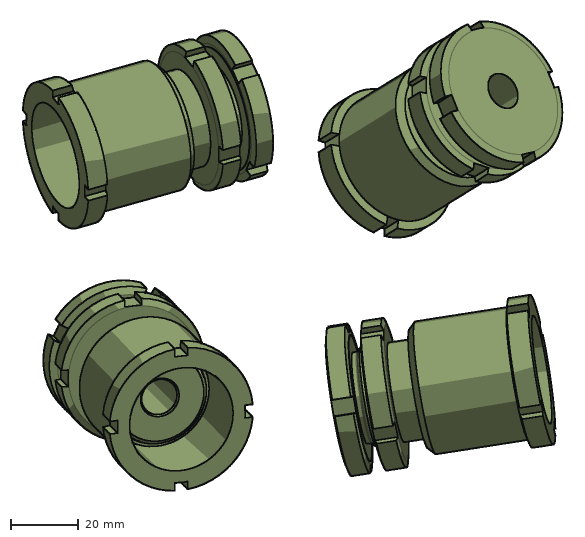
import cadquery as cq
import math

total_length = 61.5
ring_radius = 22.5
bevel_slope = math.tan(math.radians(15))
slot_count = 4

sleeve_radius = 20.0
sleeve_length = 37.0
sleeve_chamfer = 2.0
flange_thickness = 7.0
flange_slot_width = 4.0
flange_slot_floor = sleeve_radius
bore_radius = 16.2
bore_depth = 22.0

nut_start = 43.85
nut_thickness = flange_thickness
nut_bevel_width = 2.0
nut_slot_width = 5.3
nut_slot_floor = 20.5

head_thickness = 6.8
head_bevel_width = 2.35
head_slot_width = 5.0
head_recess_radius = 19.0
head_recess_depth = 0.1
head_slot_floor = ring_radius - head_bevel_width
head_slot_angle = 27.5
shaft_radius = 15.0
shaft_start = 19.7
shaft_end = 52.2
shaft_chamfer = 1.2
shoulder_length = 1.1
neck_fillet = 0.5
neck_radius = shaft_radius - shaft_chamfer
hole_radius = 5.55
hole_chamfer = 0.5


def revolve_profile(points):
    """Turn a closed outline of (radius, y) points about the Y axis."""
    return cq.Workplane("XY").polyline(points).close().revolve(360, (0, 0, 0), (0, 1, 0))


def cut_rim_slots(body, start, thickness, width, floor, angle=0.0):
    """Cut four flat-floored axial slots into a rim that begins at Y = start."""
    depth = ring_radius - floor
    for index in range(slot_count):
        slot = (
            cq.Workplane("XY")
            .box(width, thickness, 2 * depth, centered=(True, False, False))
            .translate((0, start, floor))
            .rotate((0, 0, 0), (0, 1, 0), angle + 360 / slot_count * index)
        )
        body = body.cut(slot)
    return body


def make_sleeve():
    """Flanged tube with a wide bore in front and the spindle hole behind it."""
    flange_bevel = (ring_radius - sleeve_radius) * bevel_slope
    sleeve = revolve_profile([
        (bore_radius, 0),
        (ring_radius, 0),
        (ring_radius, flange_thickness - flange_bevel),
        (sleeve_radius, flange_thickness),
        (sleeve_radius, sleeve_length - sleeve_chamfer),
        (sleeve_radius - sleeve_chamfer, sleeve_length),
        (shaft_radius, sleeve_length),
        (shaft_radius, bore_depth),
        (bore_radius, bore_depth),
    ])
    return cut_rim_slots(sleeve, 0, flange_thickness, flange_slot_width, flange_slot_floor)


def make_lock_nut():
    """Slotted ring on the spindle shaft, bevelled on both faces."""
    nut_end = nut_start + nut_thickness
    bevel = nut_bevel_width * bevel_slope
    nut = revolve_profile([
        (shaft_radius, nut_start),
        (ring_radius - nut_bevel_width, nut_start),
        (ring_radius, nut_start + bevel),
        (ring_radius, nut_end - bevel),
        (ring_radius - nut_bevel_width, nut_end),
        (shaft_radius, nut_end),
    ])
    return cut_rim_slots(nut, nut_start, nut_thickness, nut_slot_width, nut_slot_floor)


def make_spindle():
    """Hollow shaft with a slotted head behind a narrower neck."""
    head_start = total_length - head_thickness
    bevel = head_bevel_width * bevel_slope
    neck_start = shaft_end + shoulder_length
    spindle = revolve_profile([
        (hole_radius + hole_chamfer, shaft_start),
        (shaft_radius - shaft_chamfer, shaft_start),
        (shaft_radius, shaft_start + shaft_chamfer),
        (shaft_radius, shaft_end),
        (neck_radius, neck_start),
        (neck_radius, head_start + head_recess_depth),
        (head_recess_radius, head_start + head_recess_depth),
        (head_recess_radius, head_start),
        (ring_radius - head_bevel_width, head_start),
        (ring_radius, head_start + bevel),
        (ring_radius, total_length - bevel),
        (ring_radius - head_bevel_width, total_length),
        (hole_radius, total_length),
        (hole_radius, shaft_start + hole_chamfer),
    ])
    neck_corner = cq.selectors.NearestToPointSelector((0, neck_start, 0))
    neck_circles = spindle.edges("%CIRCLE").edges(neck_corner)
    spindle = neck_circles.fillet(neck_fillet)
    return cut_rim_slots(
        spindle, head_start, head_thickness, head_slot_width, head_slot_floor, head_slot_angle
    )


sleeve = make_sleeve()
lock_nut = make_lock_nut()
spindle = make_spindle()

result = cq.Compound.makeCompound([sleeve.val(), lock_nut.val(), spindle.val()])